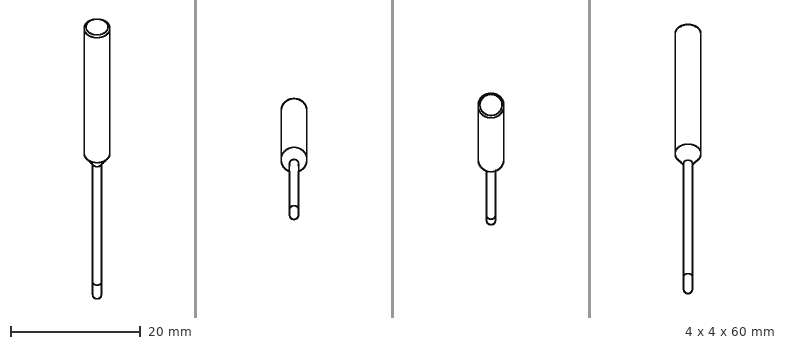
import cadquery as cq
import math

total_length = 60.0
shank_radius = 2.0
shank_length = 28.0
shank_chamfer = 0.3

neck_radius = 0.7
cone_half_angle = 30.0

head_radius = neck_radius
head_length = 3.5

shank_bottom = total_length - shank_length
cone_height = (shank_radius - neck_radius) / math.tan(math.radians(cone_half_angle))
cone_bottom = shank_bottom - cone_height


def make_holder():
    """Chamfered shank, cone and neck, turned as one body."""
    profile = (
        cq.Workplane("XZ")
        .moveTo(0, head_length)
        .lineTo(neck_radius, head_length)
        .lineTo(neck_radius, cone_bottom)
        .lineTo(shank_radius, shank_bottom)
        .lineTo(shank_radius, total_length - shank_chamfer)
        .lineTo(shank_radius - shank_chamfer, total_length)
        .lineTo(0, total_length)
        .close()
    )
    return profile.revolve(360, (0, 0), (0, 1))


def make_cutting_head():
    """Ball-nosed cylinder that meets the flat end of the neck."""
    arc_mid_offset = head_radius * math.sqrt(0.5)
    profile = (
        cq.Workplane("XZ")
        .moveTo(0, 0)
        .threePointArc((arc_mid_offset, head_radius - arc_mid_offset), (head_radius, head_radius))
        .lineTo(head_radius, head_length)
        .lineTo(0, head_length)
        .close()
    )
    return profile.revolve(360, (0, 0), (0, 1))


holder = make_holder()
cutting_head = make_cutting_head()

result = cq.Compound.makeCompound([holder.val(), cutting_head.val()])